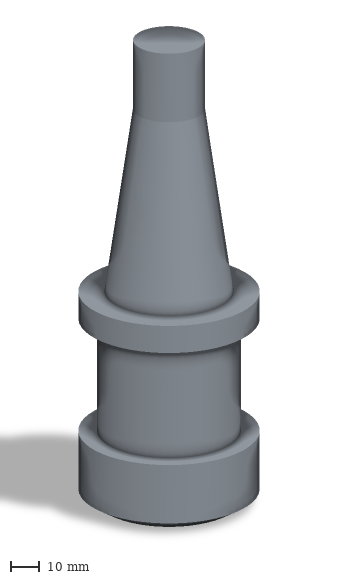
import cadquery as cq

flange_diameter = 63.0
neck_diameter = 50.0
taper_base_diameter = 44.8
tip_diameter = 25.0

total_height = 172.4
base_height = 25.9
neck_height = 42.0
collar_height = 10.2
tip_height = 25.7
taper_height = total_height - base_height - neck_height - collar_height - tip_height

bevel_height = 4.0
bevel_width = (flange_diameter - neck_diameter) / 2


def cylinder(diameter, height, bottom):
    """Upright cylinder centred on the Z axis."""
    return cq.Workplane("XY").workplane(offset=bottom).circle(diameter / 2).extrude(height)


base = cylinder(flange_diameter, base_height, 0)
base = base.faces("<Z").edges().chamfer(bevel_height, bevel_width)

neck_bottom = base_height
neck = cylinder(neck_diameter, neck_height, neck_bottom)
collar_bottom = neck_bottom + neck_height
collar = cylinder(flange_diameter, collar_height, collar_bottom)

taper_bottom = collar_bottom + collar_height
taper = (
    cq.Workplane("XY")
    .workplane(offset=taper_bottom)
    .circle(taper_base_diameter / 2)
    .workplane(offset=taper_height)
    .circle(tip_diameter / 2)
    .loft()
)

tip = cylinder(tip_diameter, tip_height, taper_bottom + taper_height)

result = base.union(neck).union(collar).union(taper).union(tip)